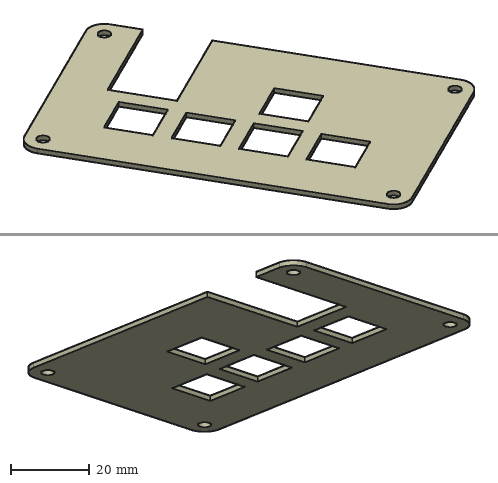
import cadquery as cq

length = 103.5
width = 63.8
thickness = 1.5
corner_radius = 5.0

hole_diameter = 3.4
hole_spacing_x = length - 2 * corner_radius
hole_spacing_y = width - 2 * corner_radius

key_size = 13.0
key_pitch = 18.0
row_key_count = 4
row_y = -10.5
upper_key_column = 2

notch_width = 18.5
notch_depth = 30.9
notch_center_x = -28.8


def key_centers():
    """Centres of the row of keys, followed by the single key above it."""
    first_x = -key_pitch * (row_key_count - 1) / 2
    centers = [(first_x + i * key_pitch, row_y) for i in range(row_key_count)]
    upper_x = first_x + upper_key_column * key_pitch
    return centers + [(upper_x, row_y + key_pitch)]


def make_plate():
    """Rounded plate centred on the Z axis, resting on Z = 0."""
    plate = cq.Workplane("XY").rect(length, width).extrude(thickness)
    return plate.edges("|Z").fillet(corner_radius)


def make_mounting_holes():
    holes = cq.Workplane("XY").rect(hole_spacing_x, hole_spacing_y, forConstruction=True)
    return holes.vertices().circle(hole_diameter / 2).extrude(thickness)


def make_key_openings():
    return cq.Workplane("XY").pushPoints(key_centers()).rect(key_size, key_size).extrude(thickness)


def make_notch():
    notch_center_y = (width - notch_depth) / 2
    return (
        cq.Workplane("XY")
        .center(notch_center_x, notch_center_y)
        .rect(notch_width, notch_depth)
        .extrude(thickness)
    )


result = make_plate().cut(make_mounting_holes()).cut(make_key_openings()).cut(make_notch())